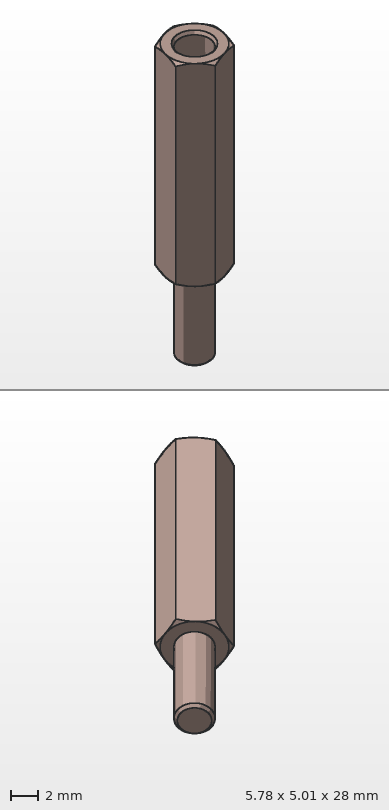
import cadquery as cq
import math


body_length = 20.0
hex_sides = 6
across_corners = 5.78
across_flats = across_corners * math.cos(math.pi / hex_sides)
bevel_angle = 30.0

stud_diameter = 3.0
stud_length = 8.0
stud_chamfer = 0.25

hole_diameter = 3.0
hole_depth = 10.0
drill_tip_angle = 118.0
countersink_diameter = 3.35
countersink_depth = 0.3


def make_body():
    """Hexagonal prism, its corners bevelled at both ends by a conical turning envelope."""
    corner_radius = across_corners / 2
    face_radius = across_flats / 2
    bevel_height = (corner_radius - face_radius) * math.tan(math.radians(bevel_angle))
    clearance = 0.1
    envelope_radius = corner_radius + clearance
    envelope_drop = bevel_height + clearance * math.tan(math.radians(bevel_angle))

    prism = cq.Workplane("XY").polygon(hex_sides, across_corners).extrude(body_length)
    envelope = (
        cq.Workplane("XZ")
        .moveTo(0, 0)
        .lineTo(face_radius, 0)
        .lineTo(envelope_radius, envelope_drop)
        .lineTo(envelope_radius, body_length - envelope_drop)
        .lineTo(face_radius, body_length)
        .lineTo(0, body_length)
        .close()
        .revolve(360, (0, 0, 0), (0, 1, 0))
    )
    return prism.intersect(envelope)


def make_stud():
    """Round stud below the body, with a chamfered tip."""
    stud = cq.Workplane("XY").circle(stud_diameter / 2).extrude(-stud_length)
    return stud.faces("<Z").chamfer(stud_chamfer)


def make_hole():
    """Blind hole with a conical drill tip and a countersunk mouth."""
    hole_radius = hole_diameter / 2
    hole_floor = body_length - hole_depth
    tip_height = hole_radius / math.tan(math.radians(drill_tip_angle / 2))
    return (
        cq.Workplane("XZ")
        .moveTo(0, hole_floor - tip_height)
        .lineTo(hole_radius, hole_floor)
        .lineTo(hole_radius, body_length - countersink_depth)
        .lineTo(countersink_diameter / 2, body_length)
        .lineTo(0, body_length)
        .close()
        .revolve(360, (0, 0, 0), (0, 1, 0))
    )


result = make_body().union(make_stud()).cut(make_hole())